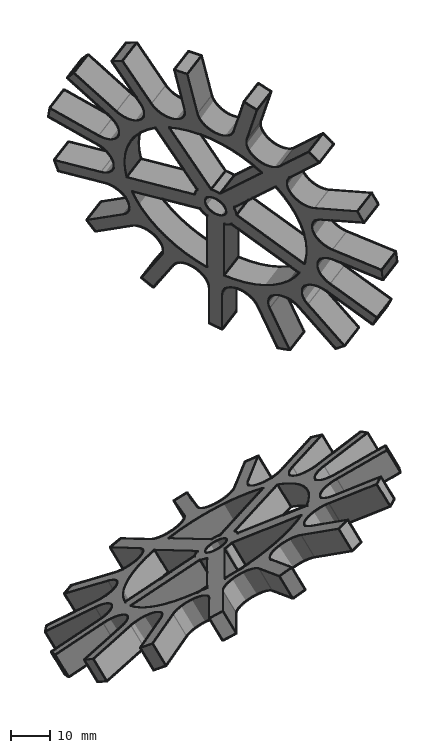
import cadquery as cq
import math

overall_width = 99.8
thickness = 7.0
finger_count = 15
finger_width = 4.0
valley_floor_radius = 30.5
window_outer_radius = 27.1
hub_radius = 6.3
bore_diameter = 6.3
spoke_count = 5
spoke_width = 5.1

first_angle = -90.0
finger_pitch = 360.0 / finger_count
spoke_pitch = 360.0 / spoke_count

tilt = math.radians(finger_pitch / 4)
tip_radius = (overall_width / 2 - finger_width / 2 * math.sin(tilt)) / math.cos(tilt)

half_pitch = math.radians(finger_pitch / 2)
valley_center_radius = (valley_floor_radius - finger_width / 2) / (1 - math.sin(half_pitch))
finger_root = valley_center_radius * math.cos(half_pitch)


def turned(x, y, angle):
    """Turn the point (x, y) about the wheel axis by an angle in degrees."""
    a = math.radians(angle)
    return (x * math.cos(a) - y * math.sin(a), x * math.sin(a) + y * math.cos(a))


def wheel_blank():
    """Solid wheel with straight fingers joined by round valleys."""
    half_width = finger_width / 2
    outline = cq.Workplane("XZ").moveTo(*turned(finger_root, -half_width, first_angle))
    for i in range(finger_count):
        angle = first_angle + i * finger_pitch
        next_angle = angle + finger_pitch
        outline = (
            outline.lineTo(*turned(tip_radius, -half_width, angle))
            .lineTo(*turned(tip_radius, half_width, angle))
            .lineTo(*turned(finger_root, half_width, angle))
            .threePointArc(
                turned(valley_floor_radius, 0, angle + finger_pitch / 2),
                turned(finger_root, -half_width, next_angle),
            )
        )
    return outline.close().extrude(thickness / 2, both=True)


def window(angle):
    """Opening between the spoke at the given angle and the next one."""
    half_width = spoke_width / 2
    inner = math.sqrt(hub_radius**2 - half_width**2)
    outer = math.sqrt(window_outer_radius**2 - half_width**2)
    next_angle = angle + spoke_pitch
    middle = angle + spoke_pitch / 2
    return (
        cq.Workplane("XZ")
        .moveTo(*turned(inner, half_width, angle))
        .lineTo(*turned(outer, half_width, angle))
        .threePointArc(turned(window_outer_radius, 0, middle), turned(outer, -half_width, next_angle))
        .lineTo(*turned(inner, -half_width, next_angle))
        .threePointArc(turned(hub_radius, 0, middle), turned(inner, half_width, angle))
        .close()
        .extrude(thickness / 2, both=True)
    )


result = wheel_blank()
for spoke in range(spoke_count):
    result = result.cut(window(first_angle + spoke * spoke_pitch))

bore = cq.Workplane("XZ").circle(bore_diameter / 2).extrude(thickness / 2, both=True)
result = result.cut(bore)